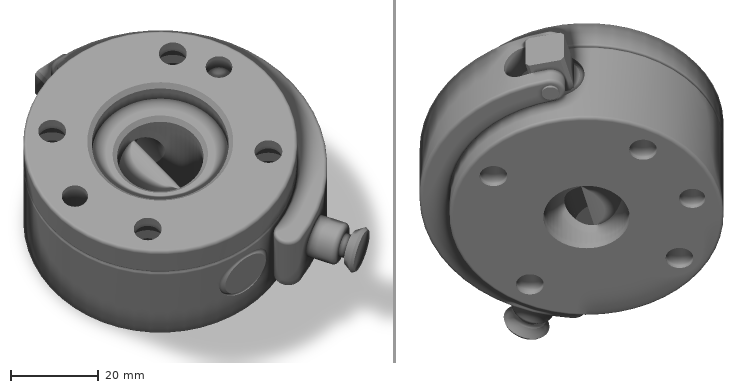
import cadquery as cq
import math

disc_dia = 63.0
total_height = 32.0
seam_z = 24.0
rim_fillet = 0.8

recess_dia = 31.5
recess_depth = 5.0
bore_dia = 19.85
opening_chamfer = 1.0
spigot_dia = recess_dia

pitch_radius = 25.0
screw_hole_dia = 6.4
screw_head_dia = 11.0
screw_seat_depth = 3.2
screw_angles = (45, 135, 225, 315)
dowel_hole_dia = 6.0
dowel_hole_angle = 270
locator_dia = 5.8
locator_hole_dia = 6.1
locator_angle = 109
locator_shank = 4.0
locator_dome_height = 1.1

lock_z = 14.5
bar_dia = 14.0
bar_start_x = -30.8
bar_end_x = 31.6
bar_chamfer = 1.0
notch_y = 0.6
notch_length = spigot_dia
notch_fillet = 1.0
block_width = 9.15
block_edge_chamfer = 0.9
block_end_x = -40.6

arm_inner_radius = 31.7
arm_width = 6.7
arm_height = 17.0
arm_fillet = 0.8
arm_end_angle = 18.8
hinge_angle = 180
slot_angle = hinge_angle - 9.1
hinge_pin_dia = 4.0
hinge_pin_length = 18.1

plunger_angle = 30
guide_dia = 10.1
guide_end = 45.1
guide_fillet = 1.0
neck_dia = 5.6
knob_dia = 11.0
knob_back_dia = 8.3
knob_front_dia = guide_dia
knob_start = 47.0
knob_rim = 49.1
knob_end = 49.8

arm_mid_radius = arm_inner_radius + arm_width / 2
arm_outer_radius = arm_inner_radius + arm_width


def polar(radius, angle):
    """XY point at a radius and an angle in degrees."""
    return (radius * math.cos(math.radians(angle)), radius * math.sin(math.radians(angle)))


def cylinder(dia, z_start, z_end, centre=(0, 0)):
    """Cylinder along Z between two heights."""
    return cq.Workplane("XY", origin=(*centre, z_start)).circle(dia / 2).extrude(z_end - z_start)


def x_cylinder(dia, x_start, x_end):
    """Cylinder along X at the height of the locking bar."""
    return cq.Workplane("YZ", origin=(x_start, 0, lock_z)).circle(dia / 2).extrude(x_end - x_start)


def rounded_disc(z_start, z_end):
    return cylinder(disc_dia, z_start, z_end).edges().fillet(rim_fillet)


def opening_cone(dia, z_top):
    """Cutter for the chamfer around a round opening."""
    edge_radius = dia / 2
    profile = [
        (0, z_top),
        (edge_radius + opening_chamfer, z_top),
        (edge_radius, z_top - opening_chamfer),
        (0, z_top - opening_chamfer),
    ]
    return cq.Workplane("XZ").polyline(profile).close().revolve(360, (0, 0, 0), (0, 1, 0))


def make_adapter():
    """Upper plate with the spigot, the recess and bore, and the pitch-circle holes."""
    adapter = rounded_disc(seam_z, total_height).union(cylinder(spigot_dia, 0, seam_z))

    recess_floor = total_height - recess_depth
    adapter = adapter.cut(cylinder(recess_dia, recess_floor, total_height))
    adapter = adapter.cut(cylinder(bore_dia, 0, recess_floor))
    adapter = adapter.cut(opening_cone(recess_dia, total_height))
    adapter = adapter.cut(opening_cone(bore_dia, recess_floor))

    for angle in screw_angles:
        centre = polar(pitch_radius, angle)
        adapter = adapter.cut(cylinder(screw_hole_dia, seam_z, total_height, centre))
        adapter = adapter.cut(cylinder(screw_head_dia, seam_z, total_height - screw_seat_depth, centre))
    for dia, angle in ((dowel_hole_dia, dowel_hole_angle), (locator_hole_dia, locator_angle)):
        adapter = adapter.cut(cylinder(dia, seam_z, total_height, polar(pitch_radius, angle)))

    return adapter.cut(x_cylinder(bar_dia, -spigot_dia, spigot_dia))


def make_locking_bar():
    """Round bar with a half notch, ending in a square hinge block."""
    bar = x_cylinder(bar_dia, bar_start_x, bar_end_x).edges().chamfer(bar_chamfer)
    notch = (
        cq.Workplane("XY", origin=(0, notch_y, lock_z))
        .box(notch_length, bar_dia, 2 * bar_dia, centered=(True, False, True))
    )
    notch_edge = cq.selectors.BoxSelector(
        (-notch_length, notch_y - notch_fillet, lock_z),
        (notch_length, notch_y + notch_fillet, lock_z + bar_dia),
    )
    bar = bar.cut(notch).edges("|X").edges(notch_edge).fillet(notch_fillet)

    block_length = bar_start_x + bar_chamfer - block_end_x
    block = (
        cq.Workplane("XY", origin=(block_end_x, 0, lock_z))
        .box(block_length, block_width, block_width, centered=(False, True, True))
        .edges("|X").chamfer(block_edge_chamfer)
    )
    return bar.union(block)


def make_arm():
    """Curved arm with rounded ends, forked at the hinge."""
    hinge_outer = polar(arm_outer_radius, hinge_angle)
    hinge_inner = polar(arm_inner_radius, hinge_angle)
    free_outer = polar(arm_outer_radius, arm_end_angle)
    free_inner = polar(arm_inner_radius, arm_end_angle)
    hinge_x, hinge_y = polar(arm_mid_radius, hinge_angle)
    free_x, free_y = polar(arm_mid_radius, arm_end_angle)
    tip_x, tip_y = polar(arm_width / 2, arm_end_angle - 90)
    arm = (
        cq.Workplane("XY", origin=(0, 0, lock_z - arm_height / 2))
        .moveTo(*hinge_outer)
        .threePointArc((0, arm_outer_radius), free_outer)
        .threePointArc((free_x + tip_x, free_y + tip_y), free_inner)
        .threePointArc((0, arm_inner_radius), hinge_inner)
        .threePointArc((hinge_x, hinge_y - arm_width / 2), hinge_outer)
        .close()
        .extrude(arm_height)
        .faces("<Z or >Z").edges().fillet(arm_fillet)
    )

    slot_plane = cq.Plane(
        origin=(0, 0, lock_z),
        xDir=(*polar(1, slot_angle + 90), 0),
        normal=(*polar(1, slot_angle), 0),
    )
    slot_end = cq.Workplane(slot_plane).circle(block_width / 2).extrude(2 * arm_outer_radius)
    slot_run = (
        cq.Workplane(slot_plane)
        .rect(arm_outer_radius, block_width)
        .extrude(2 * arm_outer_radius)
        .translate((*polar(arm_outer_radius / 2, slot_angle + 90), 0))
    )
    return arm.cut(slot_end).cut(slot_run)


def make_hinge_pin():
    half_length = hinge_pin_length / 2
    hinge_centre = polar(arm_mid_radius, hinge_angle)
    return cylinder(hinge_pin_dia, lock_z - half_length, lock_z + half_length, hinge_centre)


def make_plunger():
    """Guide, neck and knob, turned on X and then swung into place."""
    guide = x_cylinder(guide_dia, arm_mid_radius, guide_end).faces(">X").edges().fillet(guide_fillet)
    neck = x_cylinder(neck_dia, arm_mid_radius, knob_start)
    knob_profile = [
        (knob_start, 0),
        (knob_start, knob_back_dia / 2),
        (knob_rim, knob_dia / 2),
        (knob_end, knob_front_dia / 2),
        (knob_end, 0),
    ]
    knob = (
        cq.Workplane("XY", origin=(0, 0, lock_z))
        .polyline(knob_profile).close().revolve(360, (0, 0, 0), (1, 0, 0))
    )
    return guide.union(neck).union(knob).rotate((0, 0, 0), (0, 0, 1), plunger_angle)


def make_locator():
    """Round pin with a domed top, standing up from the housing into the adapter."""
    base_z = seam_z - locator_dia
    shoulder_z = seam_z + locator_shank
    tip_z = shoulder_z + locator_dome_height
    radius = locator_dia / 2
    dome_radius = (radius**2 + locator_dome_height**2) / (2 * locator_dome_height)
    return (
        cq.Workplane("XZ")
        .moveTo(0, base_z)
        .lineTo(radius, base_z)
        .lineTo(radius, shoulder_z)
        .radiusArc((0, tip_z), -dome_radius)
        .close()
        .revolve(360, (0, 0, 0), (0, 1, 0))
        .translate((*polar(pitch_radius, locator_angle), 0))
    )


def make_housing():
    """Lower plate with the locator, locking bar, lever arm and plunger."""
    housing = rounded_disc(0, seam_z).cut(cylinder(spigot_dia, 0, seam_z))
    for angle in screw_angles:
        housing = housing.cut(cylinder(screw_hole_dia, 0, seam_z, polar(pitch_radius, angle)))
    housing = housing.cut(cylinder(dowel_hole_dia, 0, seam_z, polar(pitch_radius, dowel_hole_angle)))
    housing = housing.cut(x_cylinder(bar_dia, -disc_dia, disc_dia))

    housing = housing.union(make_locator()).union(make_locking_bar())
    return housing.union(make_arm()).union(make_hinge_pin()).union(make_plunger())


adapter = make_adapter()
housing = make_housing()

result = cq.Compound.makeCompound([adapter.val(), housing.val()])